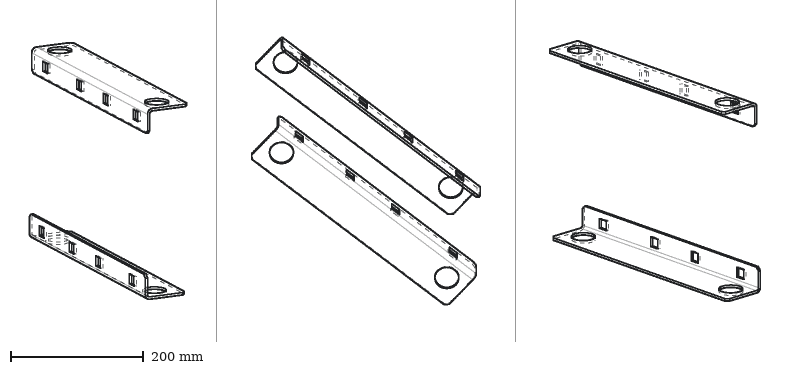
import cadquery as cq

total_length = 400.0
total_height = 300.0
bracket_shift = 8.0

bracket_length = total_length - bracket_shift
flange_width = 68.5
upright_height = 39.0
sheet_thickness = 4.0
bend_outer_radius = 8.0
bend_inner_radius = bend_outer_radius - sheet_thickness
corner_chamfer = 5.0

round_hole_diameter = 36.0
round_hole_end_distance = 32.0
round_hole_front_distance = 31.0

square_hole_size = 15.0
square_hole_height = 20.0
square_hole_positions = (41.0, 142.5, 232.0, 346.5)


def bent_sheet():
    """L-shaped sheet with its outer bend edge along the X axis."""
    return (
        cq.Workplane("YZ")
        .moveTo(0, 0)
        .lineTo(flange_width, 0)
        .lineTo(flange_width, sheet_thickness)
        .lineTo(sheet_thickness, sheet_thickness)
        .lineTo(sheet_thickness, upright_height)
        .lineTo(0, upright_height)
        .close()
        .extrude(bracket_length)
        .edges("|X and <Y and <Z")
        .fillet(bend_outer_radius)
        .edges(cq.selectors.NearestToPointSelector((bracket_length / 2, sheet_thickness, sheet_thickness)))
        .fillet(bend_inner_radius)
    )


def round_hole_cutters():
    hole_xs = (round_hole_end_distance, bracket_length - round_hole_end_distance)
    return (
        cq.Workplane("XY")
        .pushPoints([(x, round_hole_front_distance) for x in hole_xs])
        .circle(round_hole_diameter / 2)
        .extrude(sheet_thickness)
    )


def square_hole_cutters():
    return (
        cq.Workplane("XZ")
        .pushPoints([(x, square_hole_height) for x in square_hole_positions])
        .rect(square_hole_size, square_hole_size)
        .extrude(-sheet_thickness)
    )


def make_bracket():
    """Bracket with its horizontal flange at the bottom and its upright at the front."""
    sheet = bent_sheet()
    sheet = sheet.faces(">Y").edges("|Z").chamfer(corner_chamfer)
    sheet = sheet.faces(">Z").edges("|Y").chamfer(corner_chamfer)
    return sheet.cut(round_hole_cutters()).cut(square_hole_cutters())


placements = (
    (0, (0, 0, 0)),
    (180, (total_length, 0, total_height)),
)
brackets = [
    make_bracket().rotate((0, 0, 0), (0, 1, 0), angle).translate(offset)
    for angle, offset in placements
]

result = cq.Compound.makeCompound([bracket.val() for bracket in brackets])